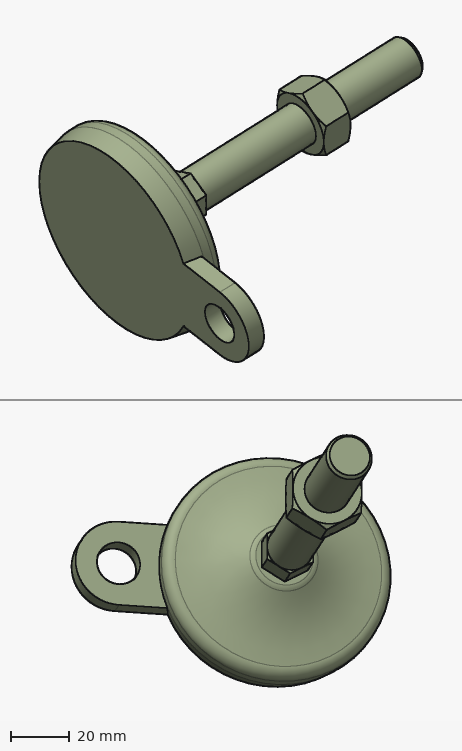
import cadquery as cq
import math


foot_radius = 80 / 2
skirt_height = 7.5
sole_radius = 38.5
rim_start = 11
rim_round = 4
dish_round = 50
crown_radius = 11.9
crown_start = 24.2
crown_flat_radius = 10
foot_height = 25

lug_thickness = 7
lug_radius = 15
lug_hole_diameter = 15
lug_reach = 54

neck_diameter = 10
spindle_diameter = 16
spindle_end = 135
end_chamfer_length = 1.35
end_chamfer_depth = 1
wrench_start = 26
wrench_end = 35
wrench_flats = 16

nut_start = 85.2
nut_thickness = 12.3
nut_flats = 24
nut_chamfer_angle = 30


def at_height(height):
    """Work plane across the spindle at the given y, with +Y as its normal and +X as local x."""
    return cq.Workplane(cq.Plane(origin=(0, height, 0), xDir=(1, 0, 0), normal=(0, 1, 0)))


def revolve_about_y(outline):
    return outline.close().revolve(360, (0, 0, 0), (0, 1, 0))


def hexagon(start, thickness, flats):
    """Hexagonal prism with flats facing +X and -X."""
    across_corners = flats / math.cos(math.radians(30))
    prism = at_height(start).polygon(6, across_corners).extrude(thickness)
    return prism.rotate((0, 0, 0), (0, 1, 0), 30)


def make_foot():
    shoulder_radius = foot_radius - rim_round
    shoulder_height = rim_start + rim_round
    outline = (
        cq.Workplane("XY")
        .lineTo(sole_radius, 0)
        .lineTo(foot_radius, skirt_height)
        .lineTo(foot_radius, rim_start)
        .radiusArc((shoulder_radius, shoulder_height), -rim_round)
        .radiusArc((crown_radius, crown_start), dish_round)
        .tangentArcPoint((crown_flat_radius, foot_height), relative=False)
        .lineTo(0, foot_height)
    )
    return revolve_about_y(outline)


def make_lug():
    plate = at_height(0).center(lug_reach / 2, 0).rect(lug_reach, 2 * lug_radius).extrude(lug_thickness)
    end = at_height(0).center(lug_reach, 0).circle(lug_radius).extrude(lug_thickness)
    hole = at_height(0).center(lug_reach, 0).circle(lug_hole_diameter / 2).extrude(lug_thickness)
    return plate.union(end).cut(hole)


def make_spindle():
    radius = spindle_diameter / 2
    rod_outline = (
        cq.Workplane("XY")
        .moveTo(0, wrench_end)
        .lineTo(radius, wrench_end)
        .lineTo(radius, spindle_end - end_chamfer_length)
        .lineTo(radius - end_chamfer_depth, spindle_end)
        .lineTo(0, spindle_end)
    )
    neck = at_height(foot_height).circle(neck_diameter / 2).extrude(wrench_start - foot_height)
    wrench_hexagon = hexagon(wrench_start, wrench_end - wrench_start, wrench_flats)
    return neck.union(wrench_hexagon).union(revolve_about_y(rod_outline))


def make_nut():
    """Hexagon nut with its corners turned off at both ends."""
    face_radius = nut_flats / 2
    corner_radius = face_radius / math.cos(math.radians(30))
    chamfer_height = (corner_radius - face_radius) * math.tan(math.radians(nut_chamfer_angle))
    nut_end = nut_start + nut_thickness
    envelope = (
        cq.Workplane("XY")
        .moveTo(0, nut_start)
        .lineTo(face_radius, nut_start)
        .lineTo(corner_radius, nut_start + chamfer_height)
        .lineTo(corner_radius, nut_end - chamfer_height)
        .lineTo(face_radius, nut_end)
        .lineTo(0, nut_end)
    )
    return hexagon(nut_start, nut_thickness, nut_flats).intersect(revolve_about_y(envelope))


result = make_foot().union(make_lug()).union(make_spindle()).union(make_nut())